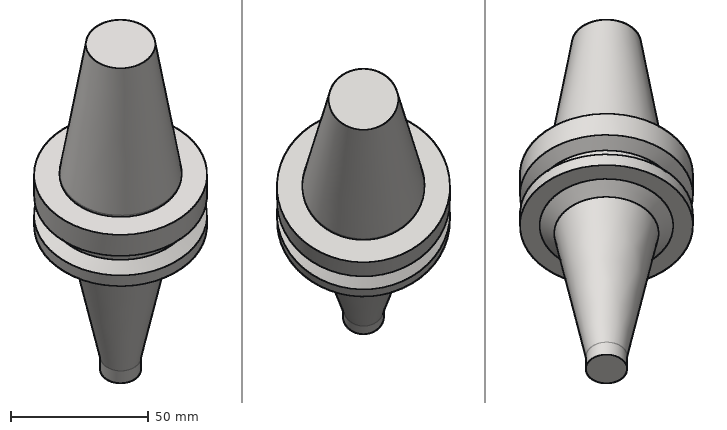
import cadquery as cq

total_length = 165.4
nose_length = 6.5
flange_bottom = 73.0
flange_top = 99.0
collar_length = 1.0

nose_diameter = 15.0
neck_diameter = 38.0
flange_diameter = 63.0
groove_diameter = 53.0
gauge_diameter = 44.5
taper_end_diameter = 25.3

shoulder_height = 4.0
shoulder_diameter = 48.6

lower_rim_height = 5.5
upper_rim_height = 10.8
groove_chamfer_height = 3.0

shoulder_bottom = flange_bottom - shoulder_height
groove_bottom = flange_bottom + lower_rim_height
groove_top = flange_top - upper_rim_height
taper_start = flange_top + collar_length


def revolved_body():
    """Revolve the (radius, height) half profile about Z."""
    profile = [
        (0, 0),
        (nose_diameter / 2, 0),
        (nose_diameter / 2, nose_length),
        (neck_diameter / 2, shoulder_bottom),
        (shoulder_diameter / 2, flange_bottom),
        (flange_diameter / 2, flange_bottom),
        (flange_diameter / 2, groove_bottom),
        (groove_diameter / 2, groove_bottom + groove_chamfer_height),
        (groove_diameter / 2, groove_top - groove_chamfer_height),
        (flange_diameter / 2, groove_top),
        (flange_diameter / 2, flange_top),
        (gauge_diameter / 2, flange_top),
        (gauge_diameter / 2, taper_start),
        (taper_end_diameter / 2, total_length),
        (0, total_length),
    ]
    return cq.Workplane("XZ").polyline(profile).close().revolve(360, (0, 0, 0), (0, 1, 0))


result = revolved_body()